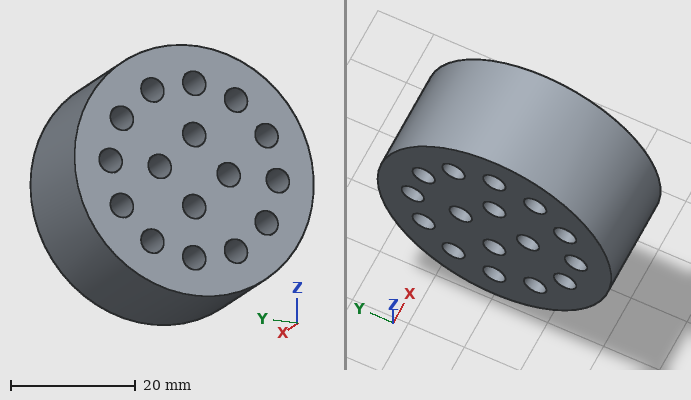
import cadquery as cq

disc_diameter = 41.8
disc_thickness = 18.0

hole_diameter = 4.0
inner_circle_radius = 6.0
inner_hole_count = 4
outer_circle_radius = 14.6
outer_hole_count = 12


def drill_ring(body, circle_radius, hole_count):
    """Drill evenly spaced through holes on a circle about the disc axis."""
    return (
        body.faces(">X")
        .workplane(origin=(0, 0, 0))
        .polarArray(circle_radius, 0, 360, hole_count)
        .hole(hole_diameter)
    )


disc = cq.Workplane("YZ").circle(disc_diameter / 2).extrude(disc_thickness)
disc = drill_ring(disc, inner_circle_radius, inner_hole_count)
result = drill_ring(disc, outer_circle_radius, outer_hole_count)